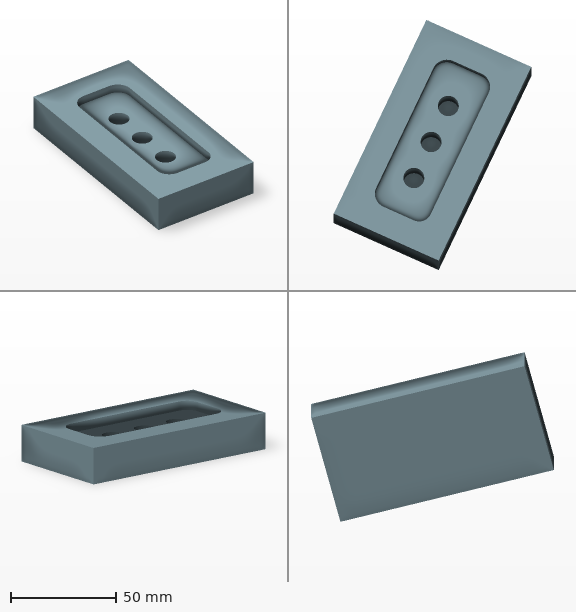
import cadquery as cq

length = 105
width = 55.0
height = 18.0

pocket_length = 79.0
pocket_width = 29.0
pocket_depth = 4.5
corner_radius = 7.0
tight_corner_radius = 6.0

hole_count = 3
hole_diameter = 10.0
hole_pitch = 19.5
hole_depth = 10.0
hole_row_y = -0.7

floor_z = height - pocket_depth

block = cq.Workplane("XY").box(length, width, height, centered=(True, True, False))

tight_corner = (pocket_length / 2, pocket_width / 2, floor_z + pocket_depth / 2)
pocket = (
    cq.Workplane("XY", origin=(0, 0, floor_z))
    .rect(pocket_length, pocket_width)
    .extrude(pocket_depth)
    .edges("|Z and (<X or <Y)")
    .fillet(corner_radius)
    .edges(cq.selectors.NearestToPointSelector(tight_corner))
    .fillet(tight_corner_radius)
)

holes = (
    cq.Workplane("XY", origin=(0, hole_row_y, floor_z))
    .rarray(hole_pitch, 1, hole_count, 1)
    .circle(hole_diameter / 2)
    .extrude(-hole_depth)
)

result = block.cut(pocket).cut(holes)